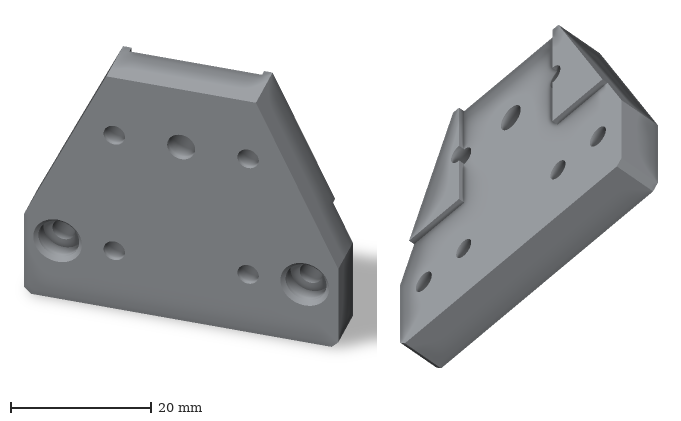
import cadquery as cq

width = 47.0
height = 40.0
top_width = 22.35
shoulder_height = 13.7
corner_chamfer = 1.0

total_thickness = 8.0
pad_rise = 1.0
base_thickness = total_thickness - pad_rise
pad_bottom = height / 2
channel_width = 19.85

hole_pitch = 20.0
lower_row = 10.0
upper_row = lower_row + hole_pitch
small_diameter = 3.2
center_diameter = 4.2
mount_spacing = 37.0
mount_diameter = 3.4
counterbore_diameter = 6.1
counterbore_depth = 3.0
countersink_diameter = 7.3
countersink_depth = (countersink_diameter - counterbore_diameter) / 2


def make_plate():
    """Tapered plate at full thickness, with chamfered bottom corners."""
    right_side = [
        (width / 2 - corner_chamfer, 0),
        (width / 2, corner_chamfer),
        (width / 2, shoulder_height),
        (top_width / 2, height),
    ]
    left_side = [(-x, z) for x, z in reversed(right_side)]
    return cq.Workplane("XZ").polyline(right_side + left_side).close().extrude(-total_thickness)


def rear_relief(relief_width, relief_height):
    """Block that lowers the rear face to the base thickness, from the bottom edge up."""
    return (
        cq.Workplane("XY")
        .box(relief_width, pad_rise, relief_height, centered=(True, False, False))
        .translate((0, base_thickness, 0))
    )


def cylinder_along_y(x, z, diameter, depth):
    """Cylinder running from the front face into the plate."""
    return cq.Workplane("XZ").center(x, z).circle(diameter / 2).extrude(-depth)


def mounting_hole(x, z):
    """Through hole with a counterbore whose front rim has a 45 degree chamfer."""
    hole = cylinder_along_y(x, z, mount_diameter, total_thickness)
    counterbore = cylinder_along_y(x, z, counterbore_diameter, counterbore_depth)
    countersink = cq.Workplane(
        cq.Solid.makeCone(
            countersink_diameter / 2,
            counterbore_diameter / 2,
            countersink_depth,
            pnt=cq.Vector(x, 0, z),
            dir=cq.Vector(0, 1, 0),
        )
    )
    return hole.union(counterbore).union(countersink)


result = make_plate()

result = result.cut(rear_relief(width, pad_bottom))
result = result.cut(rear_relief(channel_width, height))

for side in (-1, 1):
    for row in (lower_row, upper_row):
        result = result.cut(cylinder_along_y(side * hole_pitch / 2, row, small_diameter, total_thickness))
result = result.cut(cylinder_along_y(0, upper_row, center_diameter, total_thickness))

for side in (-1, 1):
    result = result.cut(mounting_hole(side * mount_spacing / 2, lower_row))